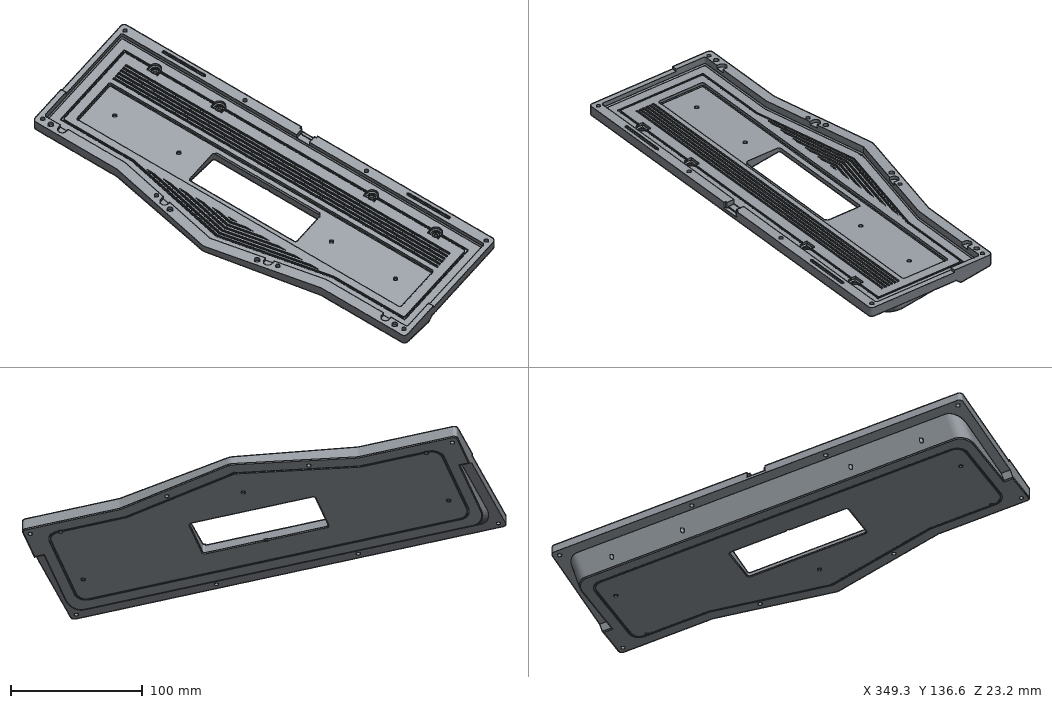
import cadquery as cq
import math


WIDTH = 349.3
HALF = WIDTH / 2
SIDE_DEPTH = 116.3
PROW_HALF = 95.7
PROW_DEPTH = 136.5
PROW_SLOPE = math.tan(math.radians(12.1))
CORNER_RADIUS = 3.0
BEND_RADIUS = 5.0
TIP_RADIUS = 9.0

HEIGHT = 23.0
REAR_RIM_DROP = 2.0
REAR_RIM_DEPTH = 80.0
PLATE_BOTTOM = -10.0
TIP_THICKNESS = 7.5
BOTTOM_ANGLE = 8.0
BOTTOM_SLOPE = math.tan(math.radians(BOTTOM_ANGLE))
REAR_SLOPE = math.tan(math.radians(40))
BLOCK_DEPTH = 81.7
FAR_FRONT = PROW_DEPTH + 17.5

KEEL_HALF = HALF - 7.7
KEEL_DEPTH = 8.5
KEEL_CORNER_RADIUS = 10.5
KEEL_FRONT = 104.8
BOTTOM_CHAMFER = 0.7

RECESS_CORNER_RADIUS = 1.7
TRAY_HALF, TRAY_REAR, TRAY_FRONT, TRAY_BEND, TRAY_FLOOR = 170.0, 8.5, 107.5, 94.3, -7.0
TRAY_CHAMFER = 1.0
BAY_HALF, BAY_REAR, BAY_FRONT, BAY_FLOOR = 152.0, 48.5, 91.5, -10.0
BAY_CHAMFER = 0.7
WINDOW_HALF, WINDOW_REAR, WINDOW_FRONT = 50.3, 54.0, 86.3
WINDOW_BEVEL = 1.0

RING_HALF, RING_REAR, RING_FRONT, RING_BEND = 161.5, 17.0, 99.0, 94.0
RING_WIDTH = 1.5
RING_DEPTH = 1.0

UNDER_RING_HALF, UNDER_RING_REAR, UNDER_RING_FRONT = KEEL_HALF - 8.7, 33.0, SIDE_DEPTH - 8.7
UNDER_RING_CORNER_RADIUS = 9.0

GROOVE_WIDTH = 1.5
GROOVE_DEPTH = 1.5
GROOVE_COUNT = 6
REAR_GROOVE_START = 27.5
REAR_GROOVE_PITCH = 3.07
CHEVRON_START = 2.95
CHEVRON_PITCH = 3.3

RIM_HOLE = 3.2
RIM_HOLES = [(169.5, 5.0), (57.0, 5.0), (169.5, 110.7), (57.0, 118.8)]
PIN_HOLE = 4.2
PIN_HOLE_DEPTH = 3.5
PIN_HOLES = [(161.5, 111.5), (41.0, 123.3)]
BAY_HOLE = 3.2
BAY_HOLE_DEPTH = 2.0
BAY_HOLES = [(131.7, 70.0), (71.5, 70.0)]
FOOT_HOLE = 3.2
FOOT_HOLE_DEPTH = 1.5
FOOT_HOLES = [(x, depth) for x in (0, 146.7) for depth in (54.0, 106.2)]

NOTCH_RADIUS = 3.5
NOTCH_FLOOR = -2.8
NOTCHES = [(151.5, 110.0), (48.5, 119.8)]

SOCKET_RADIUS = 5.0
SOCKET_FRONT = 4.2
SOCKET_FLOOR = -10.0
SOCKET_CHAMFER = 1.0
SOCKET_BORE = 5.5
SOCKET_BORE_DEPTH = 1.5
SOCKET_HOLE = 3.0
SOCKETS = [(131.7, 17.8), (71.5, 17.8)]

SLOT_HALF = 6.0
SLOT_FLOOR = -6.3
MOUTH_HALF = 7.7
MOUTH_DEPTH = 1.7
MOUTH_STEP = 1.0
MOUTH_STEP_DEPTH = 3.0

BAR_REAR, BAR_FRONT, BAR_HEIGHT = 3.0, 5.2, 1.0
BAR_OUTER, BAR_INNER, BAR_POINT = 134.5, 94.3, 1.0
BAR_CHAMFER = 0.7


def box(x0, x1, rear, front, low, high):
    block = cq.Workplane("XY").box(x1 - x0, front - rear, high - low, centered=False)
    return block.translate((x0, -front, low))


def both_sides(places):
    return [(side * x, depth) for x, depth in places for side in (-1, 1)]


def pegs(places, diameter, low, high):
    centres = [(x, -depth) for x, depth in places]
    circles = cq.Workplane("XY").workplane(offset=low).pushPoints(centres).circle(diameter / 2)
    return circles.extrude(high - low)


def plan_prism(points, low, high):
    outline = cq.Workplane("XY").workplane(offset=low).polyline([(x, -depth) for x, depth in points]).close()
    return outline.extrude(high - low)


def side_prism(points, half):
    profile = cq.Workplane("YZ").polyline([(-depth, z) for depth, z in points]).close()
    return profile.extrude(half, both=True)


def prow_prism(half, rear, front, bend, low, high):
    apex = front + bend * PROW_SLOPE
    return plan_prism([(-half, rear), (half, rear), (half, front), (bend, front),
                       (0, apex), (-bend, front), (-half, front)], low, high)


def bottom_at(depth):
    return -TIP_THICKNESS - (PROW_DEPTH - depth) * BOTTOM_SLOPE


def foot_of_wall(depth):
    """Where a wall sloping forward from the plate bottom meets the inclined bottom."""
    end = depth + (PLATE_BOTTOM - bottom_at(depth)) / (REAR_SLOPE + BOTTOM_SLOPE)
    return end, bottom_at(end)


def within(x0, x1, rear, front):
    return cq.selectors.BoxSelector((x0, -front, -HEIGHT), (x1, -rear, 0))


def base():
    outline = prow_prism(HALF, 0, SIDE_DEPTH, PROW_HALF, -HEIGHT, 0)
    outline = outline.edges("|Z and (<X or >X)").fillet(CORNER_RADIUS)
    outline = outline.edges("|Z").edges(within(-3.5, 3.5, SIDE_DEPTH, FAR_FRONT)).fillet(TIP_RADIUS)
    bends = within(-PROW_HALF - 3.5, PROW_HALF + 3.5, SIDE_DEPTH - 3.5, SIDE_DEPTH + 3.5)
    outline = outline.edges("|Z").edges(bends).fillet(BEND_RADIUS)
    profile = side_prism([(0, -REAR_RIM_DROP), (REAR_RIM_DEPTH, -REAR_RIM_DROP), (REAR_RIM_DEPTH, 0),
                          (FAR_FRONT, 0), (FAR_FRONT, bottom_at(FAR_FRONT)), foot_of_wall(BLOCK_DEPTH),
                          (BLOCK_DEPTH, PLATE_BOTTOM), (0, PLATE_BOTTOM)], HALF)
    return outline.intersect(profile)


def keel():
    heel = foot_of_wall(KEEL_DEPTH)
    bar = side_prism([(KEEL_DEPTH, PLATE_BOTTOM), heel, (KEEL_FRONT, bottom_at(KEEL_FRONT)),
                      (KEEL_FRONT, PLATE_BOTTOM)], KEEL_HALF)
    rear_wall = bar.edges(within(-HALF, HALF, KEEL_DEPTH + 0.5, heel[0] - 0.5))
    return rear_wall.edges("not |X").fillet(KEEL_CORNER_RADIUS)


def recess(cutter, chamfer):
    cutter = cutter.edges("|Z and (<X or >X)").fillet(RECESS_CORNER_RADIUS)
    return cutter.faces("<Z").edges().chamfer(chamfer)


def tray():
    return recess(prow_prism(TRAY_HALF, TRAY_REAR, TRAY_FRONT, TRAY_BEND, TRAY_FLOOR, 0), TRAY_CHAMFER)


def bay():
    return recess(box(-BAY_HALF, BAY_HALF, BAY_REAR, BAY_FRONT, BAY_FLOOR, TRAY_FLOOR), BAY_CHAMFER)


def ring_groove():
    low = TRAY_FLOOR - RING_DEPTH
    outer = prow_prism(RING_HALF, RING_REAR, RING_FRONT, RING_BEND, low, TRAY_FLOOR)
    inner = prow_prism(RING_HALF - RING_WIDTH, RING_REAR + RING_WIDTH, RING_FRONT - RING_WIDTH, RING_BEND,
                       low, TRAY_FLOOR)
    inner = inner.edges("|Z and (<X or >X)").fillet(RECESS_CORNER_RADIUS)
    return outer.cut(inner)


def bottom_ring_groove():
    outer = prow_prism(UNDER_RING_HALF, UNDER_RING_REAR, UNDER_RING_FRONT, RING_BEND, -HEIGHT, 0)
    outer = outer.edges("|Z and (<X or >X)").fillet(UNDER_RING_CORNER_RADIUS)
    inner = prow_prism(UNDER_RING_HALF - RING_WIDTH, UNDER_RING_REAR + RING_WIDTH,
                       UNDER_RING_FRONT - RING_WIDTH, RING_BEND, -HEIGHT, 0)
    inner = inner.edges("|Z and (<X or >X)").fillet(UNDER_RING_CORNER_RADIUS - RING_WIDTH)
    skin = side_prism([(0, -HEIGHT - 3.5), (0, bottom_at(0) + RING_DEPTH),
                       (FAR_FRONT, bottom_at(FAR_FRONT) + RING_DEPTH), (FAR_FRONT, -HEIGHT - 3.5)], HALF)
    return outer.cut(inner).intersect(skin)


def window():
    opening = box(-WINDOW_HALF, WINDOW_HALF, WINDOW_REAR, WINDOW_FRONT, -HEIGHT - 3.5, 0)
    return opening.edges("|Z").fillet(RECESS_CORNER_RADIUS)


def window_bevel():
    low = BAY_FLOOR - WINDOW_BEVEL
    return side_prism([(WINDOW_REAR, low), (WINDOW_REAR - WINDOW_BEVEL, BAY_FLOOR),
                       (WINDOW_FRONT - 3.5, BAY_FLOOR), (WINDOW_FRONT - 3.5, low)],
                      WINDOW_HALF - RECESS_CORNER_RADIUS)


def rear_grooves():
    grooves = cq.Workplane("XY")
    for i in range(GROOVE_COUNT):
        rear = REAR_GROOVE_START + i * REAR_GROOVE_PITCH
        front = rear + GROOVE_WIDTH
        grooves = grooves.add(box(-BAY_HALF, BAY_HALF, rear, front, TRAY_FLOOR - GROOVE_DEPTH, TRAY_FLOOR))
    return grooves.combine()


def chevron_grooves():
    """Grooves nested inside the prow, each cut off square at the straight front line of the ring groove."""
    grooves = cq.Workplane("XY")
    for i in range(GROOVE_COUNT):
        tip = RING_FRONT + RING_BEND * PROW_SLOPE - CHEVRON_START - i * CHEVRON_PITCH
        outer_half = (tip - RING_FRONT) / PROW_SLOPE
        points = [(-outer_half, RING_FRONT), (0, tip), (outer_half, RING_FRONT)]
        inner_tip = tip - GROOVE_WIDTH
        if inner_tip > RING_FRONT:
            inner_half = (inner_tip - RING_FRONT) / PROW_SLOPE
            points += [(inner_half, RING_FRONT), (0, inner_tip), (-inner_half, RING_FRONT)]
        grooves = grooves.add(plan_prism(points, TRAY_FLOOR - GROOVE_DEPTH, TRAY_FLOOR))
    return grooves.combine()


def socket(x, depth):
    left, right = x - SOCKET_RADIUS, x + SOCKET_RADIUS
    rear, front = depth - SOCKET_RADIUS, depth + SOCKET_FRONT
    round_end = pegs([(x, depth)], 2 * SOCKET_RADIUS, SOCKET_FLOOR, TRAY_FLOOR)
    rear_half = box(left, right, rear, depth, SOCKET_FLOOR, TRAY_FLOOR)
    square_end = box(left, right, depth, front, SOCKET_FLOOR, TRAY_FLOOR)
    seat = round_end.intersect(rear_half).union(square_end)
    seat = seat.faces("<Z").edges().chamfer(SOCKET_CHAMFER)
    bore = pegs([(x, depth)], SOCKET_BORE, SOCKET_FLOOR - SOCKET_BORE_DEPTH, TRAY_FLOOR)
    return seat.union(bore).union(pegs([(x, depth)], SOCKET_HOLE, -HEIGHT, TRAY_FLOOR))


def notch(x, depth):
    round_end = pegs([(x, depth)], 2 * NOTCH_RADIUS, NOTCH_FLOOR, 0)
    left, right = x - NOTCH_RADIUS, x + NOTCH_RADIUS
    return round_end.union(box(left, right, depth - NOTCH_RADIUS, depth, NOTCH_FLOOR, 0))


def cable_slot():
    low = SLOT_FLOOR - MOUTH_STEP
    throat = box(-SLOT_HALF, SLOT_HALF, 0, TRAY_REAR, SLOT_FLOOR, 0)
    step = box(-SLOT_HALF, SLOT_HALF, 0, MOUTH_STEP_DEPTH, low, 0)
    mouth = box(-MOUTH_HALF, MOUTH_HALF, 0, MOUTH_DEPTH, low, 0)
    return throat.union(step).union(mouth)


def foot_hole(x, depth):
    """A blind hole square to the inclined bottom."""
    hole = pegs([(x, depth)], FOOT_HOLE, -FOOT_HOLE_DEPTH, FOOT_HOLE_DEPTH)
    hole = hole.rotate((0, -depth, 0), (1, -depth, 0), -BOTTOM_ANGLE)
    return hole.translate((0, 0, bottom_at(depth)))


def rim_bar():
    middle = (BAR_REAR + BAR_FRONT) / 2
    shoulder = BAR_INNER + BAR_POINT
    bar = plan_prism([(-BAR_OUTER, BAR_REAR), (-shoulder, BAR_REAR), (-BAR_INNER, middle),
                      (-shoulder, BAR_FRONT), (-BAR_OUTER, BAR_FRONT)],
                     -REAR_RIM_DROP, BAR_HEIGHT - REAR_RIM_DROP)
    return bar.faces(">Z").edges().chamfer(BAR_CHAMFER)


tilt = math.radians(BOTTOM_ANGLE)
bottom_normal = cq.Vector(0, -math.sin(tilt), -math.cos(tilt))
result = base().union(keel()).cut(window())
result = result.faces(cq.selectors.DirectionMinMaxSelector(bottom_normal)).edges().chamfer(BOTTOM_CHAMFER)

cutters = [tray(), bay(), window_bevel(), ring_groove(), bottom_ring_groove()]
cutters += [rear_grooves(), chevron_grooves(), cable_slot()]
cutters += [socket(*place) for place in both_sides(SOCKETS)]
cutters += [notch(*place) for place in both_sides(NOTCHES)]
cutters += [foot_hole(*place) for place in both_sides(FOOT_HOLES)]
cutters.append(pegs(both_sides(RIM_HOLES), RIM_HOLE, -HEIGHT, 0))
cutters.append(pegs(both_sides(PIN_HOLES), PIN_HOLE, -PIN_HOLE_DEPTH, 0))
cutters.append(pegs(both_sides(BAY_HOLES), BAY_HOLE, BAY_FLOOR - BAY_HOLE_DEPTH, BAY_FLOOR))
for cutter in cutters:
    result = result.cut(cutter)

left_bar = rim_bar()
result = result.union(left_bar).union(left_bar.mirror("YZ"))